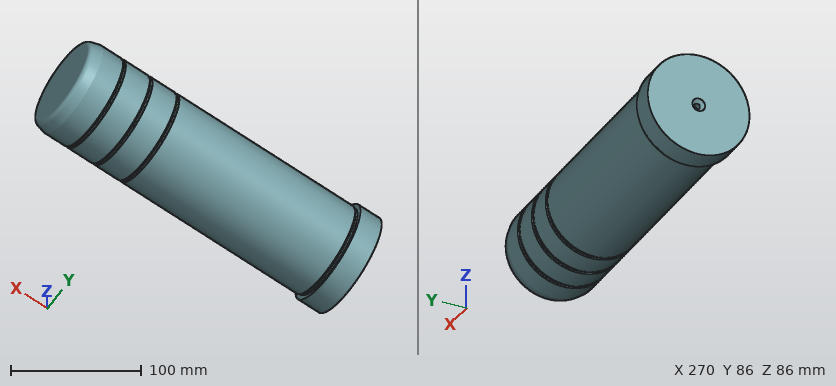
import cadquery as cq
import math

length = 270.0
head_diameter = 86.0
head_length = 20.0
body_radius = 40.0

groove_depth = 0.8
groove_width = 3.0
groove_floor_width = 1.5
first_groove_start = 188.0
groove_pitch = 25.0
groove_count = 3

nose_start = 260.0
nose_angle = math.radians(15)
nose_fillet = 4.0

centre_mouth_radius = 5.5
centre_pilot_radius = 2.5
centre_cone_angle = math.radians(45)
centre_pilot_length = 5.5
centre_tip_angle = math.radians(60)


def cylinder(start, end, radius):
    """Solid cylinder on the X axis between two positions."""
    return cq.Workplane("YZ", origin=(start, 0, 0)).circle(radius).extrude(end - start)


def body_with_nose():
    """Body whose tapered nose blends into the end face with a tangent arc."""
    arc_start_x = length - nose_fillet * (1 - math.sin(nose_angle))
    arc_start_r = body_radius - (arc_start_x - nose_start) * math.tan(nose_angle)
    arc_centre_x = length - nose_fillet
    arc_centre_r = arc_start_r - nose_fillet * math.cos(nose_angle)
    middle_angle = (math.pi / 2 - nose_angle) / 2
    arc_middle = (
        arc_centre_x + nose_fillet * math.cos(middle_angle),
        arc_centre_r + nose_fillet * math.sin(middle_angle),
    )
    return (
        cq.Workplane("XY")
        .lineTo(0, body_radius)
        .lineTo(nose_start, body_radius)
        .lineTo(arc_start_x, arc_start_r)
        .threePointArc(arc_middle, (length, arc_centre_r))
        .lineTo(length, 0)
        .close()
        .revolve(360, (0, 0, 0), (1, 0, 0))
    )


def groove(start):
    """Ring to cut away for one groove beginning at the given X position."""
    floor_radius = body_radius - groove_depth
    return (
        cq.Workplane("XY")
        .moveTo(start, body_radius)
        .lineTo(start, floor_radius)
        .lineTo(start + groove_floor_width, floor_radius)
        .lineTo(start + groove_width, body_radius)
        .close()
        .revolve(360, (0, 0, 0), (1, 0, 0))
    )


def centre_hole():
    """Conical centre with a drilled pilot and a pointed bottom."""
    cone_depth = (centre_mouth_radius - centre_pilot_radius) / math.tan(centre_cone_angle)
    pilot_end = cone_depth + centre_pilot_length
    tip_depth = centre_pilot_radius / math.tan(centre_tip_angle)
    return (
        cq.Workplane("XY")
        .lineTo(0, centre_mouth_radius)
        .lineTo(cone_depth, centre_pilot_radius)
        .lineTo(pilot_end, centre_pilot_radius)
        .lineTo(pilot_end + tip_depth, 0)
        .close()
        .revolve(360, (0, 0, 0), (1, 0, 0))
    )


result = body_with_nose().union(cylinder(0, head_length, head_diameter / 2))

result = result.cut(groove(head_length))
for index in range(groove_count):
    result = result.cut(groove(first_groove_start + index * groove_pitch))

result = result.cut(centre_hole())